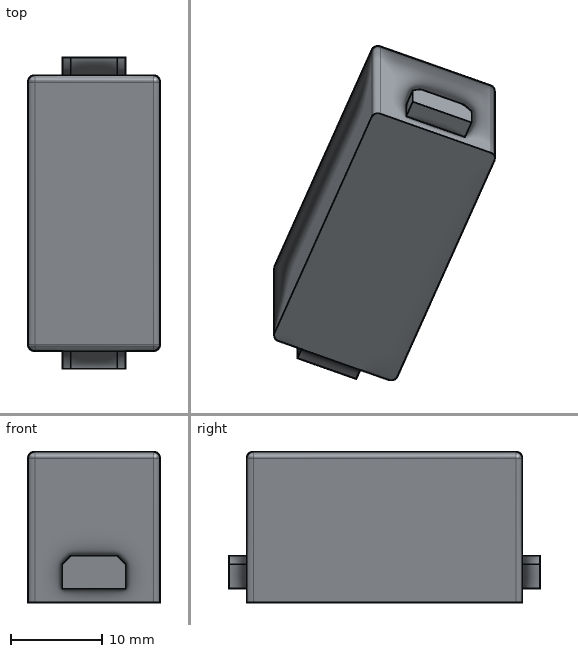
import cadquery as cq

body_width = 14.55
body_length = 30.3
body_height = 16.6
edge_radius = 0.75

overall_length = 34.2
tab_width = 6.95
tab_bottom = 1.55
tab_height = 3.63
tab_chamfer = 0.92


def make_body():
    """Block with rounded upright edges and a rounded top rim."""
    block = cq.Workplane("XY").box(
        body_width, body_length, body_height, centered=(True, True, False)
    )
    return block.edges("|Z or >Z").fillet(edge_radius)


def make_tab_bar():
    """Bar through the body whose two ends form the tabs, with its upper long edges chamfered."""
    bar = cq.Workplane("XY").workplane(offset=tab_bottom).box(
        tab_width, overall_length, tab_height, centered=(True, True, False)
    )
    return bar.edges("|Y and >Z").chamfer(tab_chamfer)


result = make_body().union(make_tab_bar())